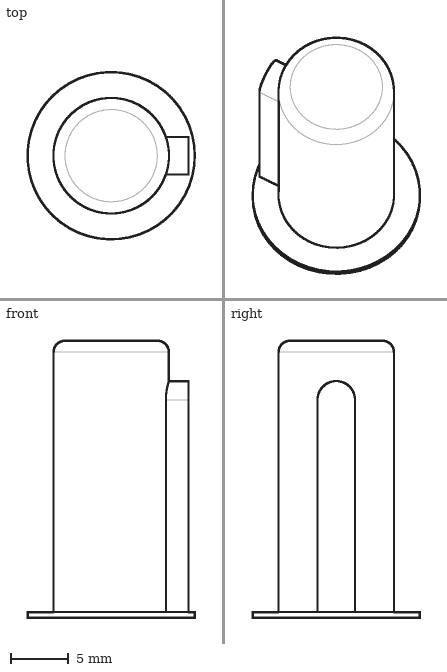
import cadquery as cq

total_height = 24.0
flange_diameter = 14.5
flange_thickness = 0.5
barrel_diameter = 10.0
barrel_edge_radius = 1.0
key_width = 3.25
key_reach = 6.7
key_top = 20.5


def make_flange():
    """Thin round base, resting on Z = 0."""
    return cq.Workplane("XY").circle(flange_diameter / 2).extrude(flange_thickness)


def make_barrel():
    """Upright cylinder with a rounded top edge."""
    barrel = cq.Workplane("XY").circle(barrel_diameter / 2).extrude(total_height)
    return barrel.faces(">Z").edges().fillet(barrel_edge_radius)


def make_key():
    """Round-topped rib along the +X side, starting inside the barrel."""
    half_width = key_width / 2
    shoulder = key_top - half_width
    return (
        cq.Workplane("YZ")
        .moveTo(-half_width, 0)
        .lineTo(half_width, 0)
        .lineTo(half_width, shoulder)
        .threePointArc((0, key_top), (-half_width, shoulder))
        .close()
        .extrude(key_reach)
    )


result = make_flange().union(make_barrel()).union(make_key())